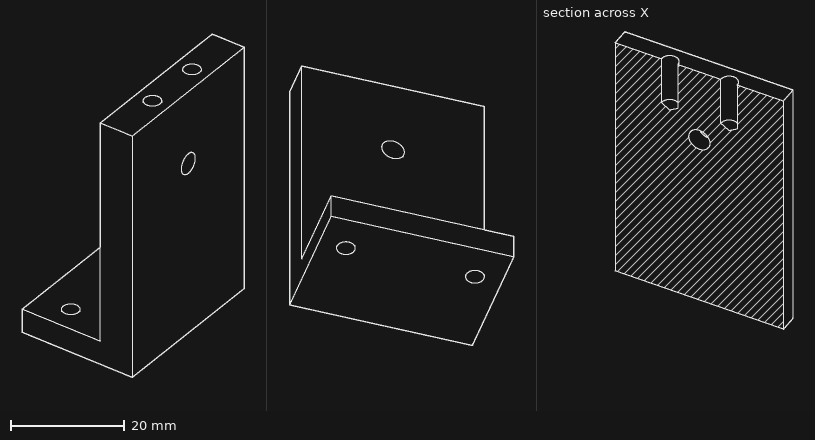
import cadquery as cq
import math

length_x = 24.0
width_y = 34.0
height_z = 52.0
base_thickness = 5.0
wall_thickness = 7.0

base_hole_diameter = 3.3
base_hole_spacing = 24.0
base_hole_from_front = 7.0

wall_hole_diameter = 4.2
wall_hole_height = 36.5

top_hole_diameter = 3.3
top_hole_spacing = 12.0
top_hole_depth = 10.0
drill_tip_angle = 118.0

wall_face_x = length_x - wall_thickness
wall_middle_x = length_x - wall_thickness / 2


def bracket_body():
    """L profile extruded across the width, centred on Y = 0."""
    profile = [
        (0, 0),
        (length_x, 0),
        (length_x, height_z),
        (wall_face_x, height_z),
        (wall_face_x, base_thickness),
        (0, base_thickness),
    ]
    return cq.Workplane("XZ").polyline(profile).close().extrude(width_y / 2, both=True)


def base_holes():
    """Pair of vertical cylinders passing through the base."""
    return (
        cq.Workplane("XY")
        .pushPoints([(base_hole_from_front, side * base_hole_spacing / 2) for side in (-1, 1)])
        .circle(base_hole_diameter / 2)
        .extrude(base_thickness)
    )


def wall_hole():
    """Horizontal cylinder passing through the wall."""
    return (
        cq.Workplane("YZ", origin=(wall_face_x, 0, wall_hole_height))
        .circle(wall_hole_diameter / 2)
        .extrude(wall_thickness)
    )


def top_hole(y):
    """Blind hole with a conical drill tip, sunk from the top edge of the wall."""
    radius = top_hole_diameter / 2
    tip_depth = radius / math.tan(math.radians(drill_tip_angle / 2))
    half_section = [
        (0, 0),
        (radius, 0),
        (radius, -top_hole_depth),
        (0, -top_hole_depth - tip_depth),
    ]
    return (
        cq.Workplane("XZ", origin=(wall_middle_x, y, height_z))
        .polyline(half_section)
        .close()
        .revolve(360, (0, 0, 0), (0, 1, 0))
    )


result = bracket_body().cut(base_holes()).cut(wall_hole())
for side in (-1, 1):
    result = result.cut(top_hole(side * top_hole_spacing / 2))